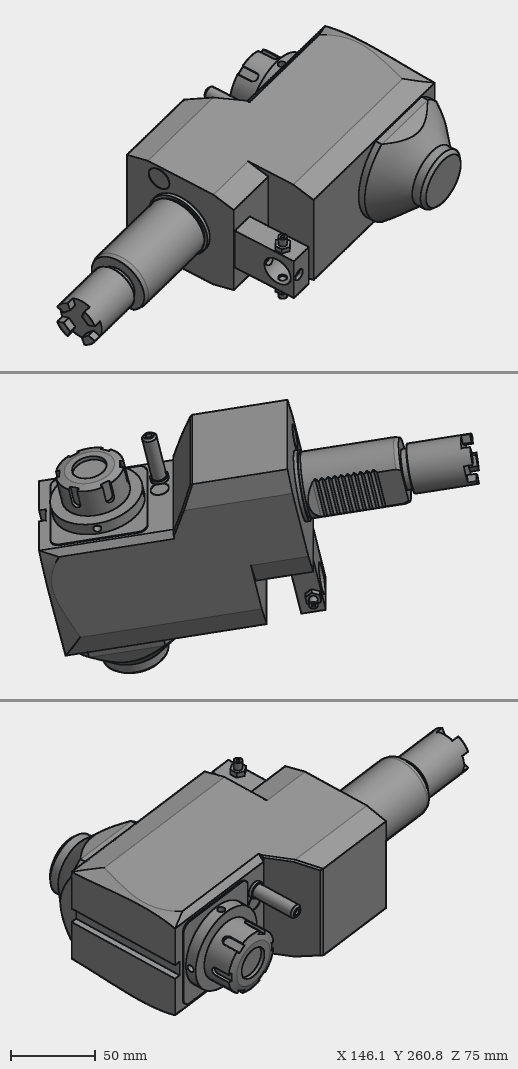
import cadquery as cq
import math

HALF_HEIGHT = 37.5
BACK_Y = 156.0
BEVEL_TAN = math.tan(math.radians(15))
BEVEL_RUN = 15.0
BEVEL_DROP = BEVEL_RUN * BEVEL_TAN

LOWER_LEFT, LOWER_RIGHT = -39.5, 38.9
UPPER_LEFT, UPPER_RIGHT = -8.3, 72.0
UPPER_FRONT_Y = 34.7
SLOPE_LOW_Y, SLOPE_HIGH_Y = 58.5, 75.0
SLOPE_EDGE_CHAMFER = 1.0
LEFT_BEVEL_RUN = 4.0
CROWN_PEAK_X = 20.9
CROWN_PEAK_RUN = 2.9
CROWN_SHOULDER_X, CROWN_SHOULDER_RUN = 38.9, 6.3
KEYWAY_WIDTH, KEYWAY_DEPTH = 10.5, 4.2

PLUG_SINK = 0.3
FRONT_PLUG_X, FRONT_PLUG_Z, FRONT_PLUG_RADIUS = -16.0, 27.5, 7.5
SIDE_PLUG_Z, SIDE_PLUG_RADIUS = 7.5, 5.5

COLLAR_RADIUS, COLLAR_END = 21.5, -2.3
SHANK_RADIUS, SHANK_END = 20.0, -62.9
SHANK_CHAMFER_LENGTH, SHANK_CHAMFER = 2.9, 0.8
SHANK_ROOT_LENGTH = 1.5
NECK_RADIUS, NECK_END = 12.3, -66.5
DRIVE_RADIUS, DRIVE_END = 15.0, -99.6
DRIVE_CHAMFER = 0.5
LUG_INNER_RADIUS = 9.5
LUG_INNER_WIDTH, LUG_OUTER_WIDTH = 6.8, 11.7
LUG_END = BACK_Y - 260.8

FLAT_Z = -15.5
FLAT_START = -9.7
FLAT_RAMP_START = FLAT_START + COLLAR_RADIUS + FLAT_Z
TOOTH_PITCH, TOOTH_DEPTH, TOOTH_COUNT = 4.0, 1.3, 10

SPINDLE_Y = 119.7
PAD_LENGTH, PAD_HEIGHT, PAD_THICKNESS, PAD_CORNER = 58.5, 63.0, 0.8, 5.7
HUB_RADIUS = 18.8
RING_RADIUS, RING_LEFT, RING_RIGHT = 28.0, -17.2, -9.7
RING_HOLE_RADIUS, RING_HOLE_DEPTH = 2.3, 5.2
NUT_RADIUS, NUT_RIGHT, NUT_LEFT = 20.5, -17.7, -38.0
NUT_NOSE_LENGTH, NUT_FACE_RADIUS = 1.5, 15.0
NUT_SLOT_WIDTH, NUT_SLOT_DEPTH, NUT_SLOT_LENGTH, NUT_SLOT_COUNT = 5.7, 2.3, 14.3, 6
COLLET_RADIUS, COLLET_DEPTH = 10.5, 2.5

PIN_Y, PIN_Z, PIN_RADIUS = 83.2, 17.5, 4.5
PIN_TIP_X, PIN_CHAMFER = -41.2, 1.3
PIN_COLLAR_RADIUS, PIN_COLLAR_LENGTH = 5.5, 2.0
PIN_BORE_RADIUS, PIN_BORE_DEPTH = 1.8, 5.2

COVER_RADIUS, COVER_RIM_X = 40.0, 76.5
COVER_HALF_HEIGHT, COVER_TOP_Y = 32.5, 151.5
NOSE_RADIUS, NOSE_END, NOSE_CHAMFER = 19.8, 104.9, 2.3
NOSE_START = COVER_RIM_X + COVER_RADIUS - NOSE_RADIUS

ARM_END, ARM_FRONT_Y, ARM_BACK_Y, ARM_HALF_HEIGHT = 82.2, 1.0, 16.0, 15.5
ARM_BORE_X, ARM_BORE_RADIUS = 70.2, 9.7
CROSS_HOLE_RADIUS = 3.7
SCREW_Y, SCREW_RADIUS, SCREW_END_Z = 6.3, 2.5, 24.8
SCREW_TIP_Z = ARM_BORE_RADIUS + 1.3
SCREW_SOCKET_RADIUS, SCREW_SOCKET_DEPTH = 1.0, 2.0
NUT_CORNER_DIAMETER, NUT_END_Z = 10.0, 19.0


def x_cylinder(radius, x_start, x_end, y, z):
    """Cylinder along X between two X positions."""
    plane = cq.Workplane("YZ", origin=(x_start, y, z))
    return plane.circle(radius).extrude(x_end - x_start)


def bevelled_prism(left, right, left_bevel, right_bevel, y_start, y_end):
    """Prism along Y whose four long edges are bevelled; each bevel is (run, drop)."""
    half = [
        (left, HALF_HEIGHT - left_bevel[1]),
        (left + left_bevel[0], HALF_HEIGHT),
        (right - right_bevel[0], HALF_HEIGHT),
        (right, HALF_HEIGHT - right_bevel[1]),
    ]
    mirrored = [(x, -z) for x, z in reversed(half)]
    plane = cq.Workplane("XZ", origin=(0, y_start, 0))
    return plane.polyline(half + mirrored).close().extrude(y_start - y_end)


def rear_bevel():
    """Cutter for the crowned bevel on the upper rear edge, swept along a 15 degree slope."""
    corner_y = BACK_Y - BEVEL_RUN
    beyond_y = BACK_Y + 2 * BEVEL_RUN
    region = (
        cq.Workplane("XY", origin=(0, 0, HALF_HEIGHT))
        .moveTo(UPPER_LEFT, corner_y)
        .spline(
            [
                (CROWN_PEAK_X, BACK_Y - CROWN_PEAK_RUN),
                (CROWN_SHOULDER_X, BACK_Y - CROWN_SHOULDER_RUN),
                (UPPER_RIGHT, corner_y),
            ],
            includeCurrent=True,
        )
        .lineTo(UPPER_RIGHT, beyond_y)
        .lineTo(UPPER_LEFT, beyond_y)
        .close()
    )
    slope = cq.Vector(0, 2 * BEVEL_RUN, -2 * BEVEL_DROP)
    return cq.Workplane(cq.Solid.extrudeLinear(region.val(), [], slope))


def housing():
    shallow = (BEVEL_RUN, BEVEL_DROP)
    lower = bevelled_prism(LOWER_LEFT, LOWER_RIGHT, shallow, shallow, 0, SLOPE_HIGH_Y)
    slope_corner = (
        cq.Workplane("XY", origin=(0, 0, -HALF_HEIGHT))
        .polyline([
            (LOWER_LEFT, SLOPE_LOW_Y),
            (UPPER_LEFT, SLOPE_HIGH_Y),
            (LOWER_LEFT, SLOPE_HIGH_Y),
        ])
        .close()
        .extrude(2 * HALF_HEIGHT)
    )
    lower = lower.cut(slope_corner)
    lower = lower.faces(">(-1,2,0)").edges("not >X").chamfer(SLOPE_EDGE_CHAMFER)
    upper = bevelled_prism(
        UPPER_LEFT, UPPER_RIGHT, (LEFT_BEVEL_RUN, BEVEL_DROP), shallow, UPPER_FRONT_Y, BACK_Y
    )
    top_bevel = rear_bevel()
    upper = upper.cut(top_bevel).cut(top_bevel.mirror("XY"))
    keyway = cq.Workplane("XY").box(
        UPPER_RIGHT - UPPER_LEFT, KEYWAY_DEPTH, KEYWAY_WIDTH, centered=(False, False, True)
    )
    upper = upper.cut(keyway.translate((UPPER_LEFT, BACK_Y - KEYWAY_DEPTH, 0)))
    return lower.union(upper)


def plug_seats():
    front = (
        cq.Workplane("XZ", origin=(FRONT_PLUG_X, PLUG_SINK, FRONT_PLUG_Z))
        .circle(FRONT_PLUG_RADIUS)
        .extrude(PLUG_SINK)
    )
    side = x_cylinder(SIDE_PLUG_RADIUS, UPPER_LEFT, UPPER_LEFT + PLUG_SINK, PIN_Y, SIDE_PLUG_Z)
    return front.union(side)


def shank():
    profile = [
        (0, 0),
        (COLLAR_RADIUS, 0),
        (COLLAR_RADIUS, COLLAR_END),
        (SHANK_RADIUS - SHANK_CHAMFER, COLLAR_END),
        (SHANK_RADIUS, COLLAR_END - SHANK_ROOT_LENGTH),
        (SHANK_RADIUS, SHANK_END + SHANK_CHAMFER_LENGTH),
        (SHANK_RADIUS - SHANK_CHAMFER, SHANK_END),
        (NECK_RADIUS, SHANK_END),
        (NECK_RADIUS, NECK_END),
        (DRIVE_RADIUS - DRIVE_CHAMFER, NECK_END),
        (DRIVE_RADIUS, NECK_END - DRIVE_CHAMFER),
        (DRIVE_RADIUS, LUG_END),
        (0, LUG_END),
    ]
    turned = cq.Workplane("XY").polyline(profile).close().revolve(360, (0, 0, 0), (0, 1, 0))
    return turned.cut(rack_flat()).cut(lug_gaps())


def rack_flat():
    """Cutter for the flat under the shank, with V grooves across it."""
    outline = [(FLAT_RAMP_START, -COLLAR_RADIUS), (FLAT_START, FLAT_Z)]
    for index in range(TOOTH_COUNT):
        groove_start = FLAT_START - index * TOOTH_PITCH
        outline.append((groove_start - TOOTH_PITCH / 2, FLAT_Z + TOOTH_DEPTH))
        outline.append((groove_start - TOOTH_PITCH, FLAT_Z))
    outline += [(SHANK_END, FLAT_Z), (SHANK_END, -COLLAR_RADIUS)]
    plane = cq.Workplane("YZ")
    return plane.polyline(outline).close().extrude(SHANK_RADIUS, both=True)


def lug_gaps():
    """Cutter that leaves four wedge-shaped lugs on the diagonals of the drive end."""
    plane = cq.Workplane("XZ", origin=(0, DRIVE_END, 0))
    length = DRIVE_END - LUG_END
    lug = (
        plane.polyline([
            (LUG_INNER_RADIUS, -LUG_INNER_WIDTH / 2),
            (DRIVE_RADIUS, -LUG_OUTER_WIDTH / 2),
            (DRIVE_RADIUS, LUG_OUTER_WIDTH / 2),
            (LUG_INNER_RADIUS, LUG_INNER_WIDTH / 2),
        ])
        .close()
        .extrude(length)
    )
    gaps = plane.circle(DRIVE_RADIUS).extrude(length)
    for angle in (45, 135, 225, 315):
        gaps = gaps.cut(lug.rotate((0, 0, 0), (0, 1, 0), angle))
    return gaps


def spindle():
    pad = (
        cq.Workplane("YZ", origin=(UPPER_LEFT, SPINDLE_Y, 0))
        .rect(PAD_LENGTH, PAD_HEIGHT)
        .extrude(-PAD_THICKNESS)
        .edges("|X")
        .fillet(PAD_CORNER)
    )
    hub = x_cylinder(HUB_RADIUS, NUT_RIGHT, UPPER_LEFT, SPINDLE_Y, 0)
    return pad.union(hub).union(spindle_ring()).union(clamping_nut())


def spindle_ring():
    ring = x_cylinder(RING_RADIUS, RING_LEFT, RING_RIGHT, SPINDLE_Y, 0)
    middle = (RING_LEFT + RING_RIGHT) / 2
    hole = (
        cq.Workplane("XY", origin=(middle, SPINDLE_Y, RING_RADIUS))
        .circle(RING_HOLE_RADIUS)
        .extrude(-RING_HOLE_DEPTH)
    )
    for angle in (0, 90, 180, 270):
        ring = ring.cut(hole.rotate((0, SPINDLE_Y, 0), (1, SPINDLE_Y, 0), angle))
    return ring


def clamping_nut():
    profile = [
        (NUT_RIGHT, 0),
        (NUT_RIGHT, NUT_RADIUS),
        (NUT_LEFT + NUT_NOSE_LENGTH, NUT_RADIUS),
        (NUT_LEFT, NUT_FACE_RADIUS),
        (NUT_LEFT, COLLET_RADIUS),
        (NUT_LEFT + COLLET_DEPTH, COLLET_RADIUS),
        (NUT_LEFT + COLLET_DEPTH, 0),
    ]
    nut = cq.Workplane("XY").polyline(profile).close().revolve(360, (0, 0, 0), (1, 0, 0))
    slot = (
        cq.Workplane("XZ", origin=(NUT_LEFT, NUT_RADIUS, 0))
        .slot2D(2 * NUT_SLOT_LENGTH, NUT_SLOT_WIDTH)
        .extrude(NUT_SLOT_DEPTH)
    )
    for index in range(NUT_SLOT_COUNT):
        nut = nut.cut(slot.rotate((0, 0, 0), (1, 0, 0), index * 360 / NUT_SLOT_COUNT))
    return nut.translate((0, SPINDLE_Y, 0))


def coolant_pin():
    collar = x_cylinder(PIN_COLLAR_RADIUS, UPPER_LEFT - PIN_COLLAR_LENGTH, UPPER_LEFT, PIN_Y, PIN_Z)
    pin = x_cylinder(PIN_RADIUS, PIN_TIP_X, UPPER_LEFT, PIN_Y, PIN_Z).faces("<X").chamfer(PIN_CHAMFER)
    bore = x_cylinder(PIN_BORE_RADIUS, PIN_TIP_X, PIN_TIP_X + PIN_BORE_DEPTH, PIN_Y, PIN_Z)
    return pin.union(collar).cut(bore)


def rear_cover():
    profile = [
        (UPPER_RIGHT, 0),
        (UPPER_RIGHT, COVER_RADIUS),
        (COVER_RIM_X, COVER_RADIUS),
        (NOSE_START, NOSE_RADIUS),
        (NOSE_END - NOSE_CHAMFER, NOSE_RADIUS),
        (NOSE_END, NOSE_RADIUS - NOSE_CHAMFER),
        (NOSE_END, 0),
    ]
    turned = cq.Workplane("XY").polyline(profile).close().revolve(360, (0, 0, 0), (1, 0, 0))
    end_half_height = COVER_HALF_HEIGHT - (NOSE_END - COVER_RIM_X) * BEVEL_TAN
    front_y = SPINDLE_Y - COVER_RADIUS
    envelope = (
        cq.Workplane("XZ", origin=(0, front_y, 0))
        .polyline([
            (UPPER_RIGHT, COVER_HALF_HEIGHT),
            (COVER_RIM_X, COVER_HALF_HEIGHT),
            (NOSE_END, end_half_height),
            (NOSE_END, -end_half_height),
            (COVER_RIM_X, -COVER_HALF_HEIGHT),
            (UPPER_RIGHT, -COVER_HALF_HEIGHT),
        ])
        .close()
        .extrude(front_y - COVER_TOP_Y)
    )
    return turned.translate((0, SPINDLE_Y, 0)).intersect(envelope)


def stop_arm():
    arm = (
        cq.Workplane("XY", origin=(LOWER_RIGHT, ARM_FRONT_Y, 0))
        .box(
            ARM_END - LOWER_RIGHT, ARM_BACK_Y - ARM_FRONT_Y, 2 * ARM_HALF_HEIGHT,
            centered=(False, False, True),
        )
    )
    bore = (
        cq.Workplane("XZ", origin=(ARM_BORE_X, ARM_FRONT_Y, 0))
        .circle(ARM_BORE_RADIUS)
        .extrude(ARM_FRONT_Y - ARM_BACK_Y)
    )
    cross_hole = x_cylinder(CROSS_HOLE_RADIUS, 2 * ARM_BORE_X - ARM_END, ARM_END, SCREW_Y, 0)
    screw_hole = (
        cq.Workplane("XY", origin=(ARM_BORE_X, SCREW_Y, 0))
        .circle(SCREW_RADIUS)
        .extrude(SCREW_TIP_Z, both=True)
    )
    screw = set_screw()
    return arm.cut(bore).cut(cross_hole).cut(screw_hole).union(screw).union(screw.mirror("XY"))


def set_screw():
    """Upper set screw with its lock nut and drive socket."""
    tip = (ARM_BORE_X, SCREW_Y, SCREW_TIP_Z)
    screw = cq.Workplane("XY", origin=tip).circle(SCREW_RADIUS).extrude(SCREW_END_Z - SCREW_TIP_Z)
    screw = screw.faces(">Z").workplane().circle(SCREW_SOCKET_RADIUS).cutBlind(-SCREW_SOCKET_DEPTH)
    lock_nut = (
        cq.Workplane("XY", origin=(ARM_BORE_X, SCREW_Y, ARM_HALF_HEIGHT))
        .polygon(6, NUT_CORNER_DIAMETER)
        .circle(SCREW_RADIUS)
        .extrude(NUT_END_Z - ARM_HALF_HEIGHT)
    )
    return screw.union(lock_nut)


result = (
    housing()
    .cut(plug_seats())
    .union(shank())
    .union(spindle())
    .union(coolant_pin())
    .union(rear_cover())
    .union(stop_arm())
)